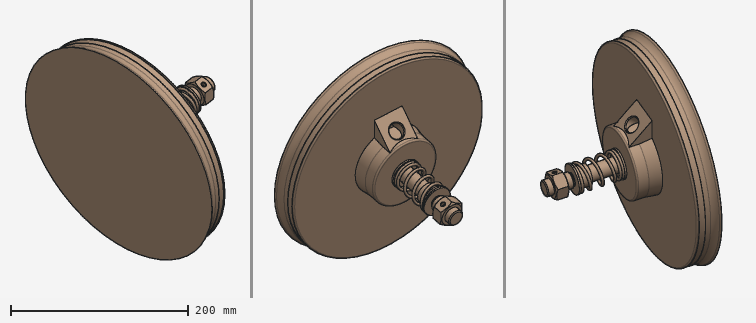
import cadquery as cq
import math


FACE_RADIUS = 279.48 / 2
RIM_RADIUS = 270 / 2
GROOVE_RADIUS = 268.8 / 2
LIP_RADIUS = 138.6
LIP_END = 2.6
FLARE_END = 11.9
GROOVE_START = 18.3
GROOVE_END = 26.2
DISK_BACK = 29.2
DISK_BACK_FILLET = 1.8

HUB_RADIUS = 90 / 2
HUB_BASE_RADIUS = 47.0
HUB_TAPER_END = 45.3
HUB_TOP = 60.5
HUB_FILLET = 2.0

PORT_BLOCK_WIDTH = 39.5
PORT_BLOCK_INNER_Z = 33.0
PORT_SLOPE_SUM = 98.8
PORT_CENTRE_Y = 45.1
PORT_BORE = 18.63
PORT_MOUTH = 20.9

ROD_RADIUS = 20 / 2
ROD_END = 155.51
ROD_CHAMFER = 1.3
NECK_RADIUS = 16.93 / 2
NECK_TOP = 123.0

SEAT_RADIUS = 37.5 / 2
LOWER_SEAT_TOP = 62.8
UPPER_SEAT_BOTTOM = 117.7
UPPER_SEAT_TOP = 120.1
SLEEVE_RADIUS = 26.67 / 2
SLEEVE_BOTTOM = 100.7

WIRE_DIAMETER = 3.5
SPRING_OUTER_RADIUS = 18.4
SPRING_PITCH = 15.4
DEAD_COIL_PITCH = WIRE_DIAMETER + 0.1
COIL_TOP_Y = 78.3
LOWER_DEAD_TURNS = 1.75
UPPER_DEAD_TURNS = 1.1
SEAT_BITE = 1.3
POINTS_PER_TURN = 16

NUT_SIDES = 6
NUT_ACROSS_FLATS = 30.0
NUT_BOTTOM = 130.8
NUT_TOP = 147.2
NUT_CORNER_ANGLE = 34.5
NUT_CHAMFER_RADIUS = 14.0
NUT_CHAMFER_ANGLE = 30.0
SCREW_HOLE = 4.92
SCREW_HOLE_MOUTH = 6.2


def revolved(profile):
    return profile.close().revolve(360, (0, 0, 0), (0, 1, 0))


def ring(radius, bottom, top):
    return cq.Workplane("XZ", origin=(0, bottom, 0)).circle(radius).extrude(bottom - top)


def countersunk_cutter(origin, inward, bore, mouth, depth):
    """Cylinder going inward from a surface point, with a 45 degree cone at its mouth."""
    bore_radius = bore / 2
    mouth_radius = mouth / 2
    sink = mouth_radius - bore_radius
    start = cq.Vector(*origin)
    direction = cq.Vector(*inward)
    drill = cq.Solid.makeCylinder(bore_radius, depth, start, direction)
    cone = cq.Solid.makeCone(mouth_radius, bore_radius, sink, start, direction)
    return cq.Workplane(drill.fuse(cone))


def make_disk():
    rise = LIP_RADIUS - RIM_RADIUS
    length = FLARE_END - LIP_END
    flare_radius = (length**2 + rise**2) / (2 * rise)
    half_sweep = math.asin(length / flare_radius) / 2
    flare_middle = (
        RIM_RADIUS + flare_radius * (1 - math.cos(half_sweep)),
        FLARE_END - flare_radius * math.sin(half_sweep),
    )
    profile = (
        cq.Workplane("XY")
        .lineTo(FACE_RADIUS, 0)
        .lineTo(LIP_RADIUS, LIP_END)
        .threePointArc(flare_middle, (RIM_RADIUS, FLARE_END))
        .lineTo(RIM_RADIUS, GROOVE_START)
        .lineTo(GROOVE_RADIUS, GROOVE_START)
        .lineTo(GROOVE_RADIUS, GROOVE_END)
        .lineTo(RIM_RADIUS, GROOVE_END)
        .lineTo(RIM_RADIUS, DISK_BACK)
        .lineTo(0, DISK_BACK)
    )
    return revolved(profile).faces(">Y").edges().fillet(DISK_BACK_FILLET)


def make_hub_core():
    return ring(HUB_RADIUS, DISK_BACK, HUB_TOP).faces(">Y").edges().fillet(HUB_FILLET)


def make_hub_skirt():
    profile = (
        cq.Workplane("XY")
        .moveTo(0, DISK_BACK)
        .lineTo(HUB_BASE_RADIUS, DISK_BACK)
        .lineTo(HUB_RADIUS, HUB_TAPER_END)
        .lineTo(0, HUB_TAPER_END)
    )
    return revolved(profile)


def make_hub():
    top_y = HUB_TOP - HUB_FILLET
    block = (
        cq.Workplane("YZ")
        .moveTo(DISK_BACK, PORT_BLOCK_INNER_Z)
        .lineTo(DISK_BACK, PORT_SLOPE_SUM - DISK_BACK)
        .lineTo(top_y, PORT_SLOPE_SUM - top_y)
        .lineTo(top_y, PORT_BLOCK_INNER_Z)
        .close()
        .extrude(PORT_BLOCK_WIDTH / 2, both=True)
    )
    centre = (0, PORT_CENTRE_Y, PORT_SLOPE_SUM - PORT_CENTRE_Y)
    inward = (0, -1, -1)
    port = countersunk_cutter(centre, inward, PORT_BORE, PORT_MOUTH, HUB_RADIUS)
    return block.union(make_hub_skirt()).cut(port).union(make_hub_core())


def make_rod():
    neck_bevel = ROD_RADIUS - NECK_RADIUS
    profile = (
        cq.Workplane("XY")
        .moveTo(0, HUB_TOP)
        .lineTo(ROD_RADIUS, HUB_TOP)
        .lineTo(ROD_RADIUS, UPPER_SEAT_BOTTOM)
        .lineTo(NECK_RADIUS, UPPER_SEAT_BOTTOM)
        .lineTo(NECK_RADIUS, NECK_TOP - neck_bevel)
        .lineTo(ROD_RADIUS, NECK_TOP)
        .lineTo(ROD_RADIUS, ROD_END)
        .lineTo(0, ROD_END)
    )
    return revolved(profile).faces(">Y").edges().chamfer(ROD_CHAMFER)


def make_seats():
    lower_seat = ring(SEAT_RADIUS, HUB_TOP, LOWER_SEAT_TOP)
    upper_seat = ring(SEAT_RADIUS, UPPER_SEAT_BOTTOM, UPPER_SEAT_TOP)
    sleeve = ring(SLEEVE_RADIUS, SLEEVE_BOTTOM, UPPER_SEAT_BOTTOM)
    return lower_seat.union(upper_seat).union(sleeve)


def make_spring():
    """Right-handed spring with closed coils against each seat."""
    coil_radius = SPRING_OUTER_RADIUS - WIRE_DIAMETER / 2
    end_gap = WIRE_DIAMETER / 2 - SEAT_BITE
    first_y = LOWER_SEAT_TOP + end_gap
    last_y = UPPER_SEAT_BOTTOM - end_gap
    open_start = (first_y + LOWER_DEAD_TURNS * DEAD_COIL_PITCH - COIL_TOP_Y) / SPRING_PITCH
    open_end = (last_y - UPPER_DEAD_TURNS * DEAD_COIL_PITCH - COIL_TOP_Y) / SPRING_PITCH
    first_turn = open_start - LOWER_DEAD_TURNS
    last_turn = open_end + UPPER_DEAD_TURNS

    def height(turn):
        if turn < open_start:
            return first_y + (turn - first_turn) * DEAD_COIL_PITCH
        if turn > open_end:
            return last_y - (last_turn - turn) * DEAD_COIL_PITCH
        return COIL_TOP_Y + turn * SPRING_PITCH

    def centre_point(turn):
        angle = 2 * math.pi * turn
        return cq.Vector(coil_radius * math.sin(angle), height(turn), coil_radius * math.cos(angle))

    steps = round((last_turn - first_turn) * POINTS_PER_TURN)
    turns = [first_turn + (last_turn - first_turn) * i / steps for i in range(steps + 1)]
    path = cq.Edge.makeSpline([centre_point(turn) for turn in turns])
    start_plane = cq.Plane(origin=path.startPoint(), normal=path.tangentAt(0))
    wire_section = cq.Workplane(start_plane).circle(WIRE_DIAMETER / 2)
    return wire_section.sweep(cq.Workplane(cq.Wire.assembleEdges([path])), isFrenet=True)


def make_nut():
    flat_radius = NUT_ACROSS_FLATS / 2
    corner_radius = flat_radius / math.cos(math.pi / NUT_SIDES)
    chamfer_drop = (corner_radius - NUT_CHAMFER_RADIUS) * math.tan(math.radians(NUT_CHAMFER_ANGLE))
    hexagon = (
        cq.Workplane("XZ", origin=(0, NUT_BOTTOM, 0))
        .polygon(NUT_SIDES, 2 * corner_radius)
        .extrude(NUT_BOTTOM - NUT_TOP)
        .rotate((0, 0, 0), (0, 1, 0), -NUT_CORNER_ANGLE)
    )
    chamfer_envelope = revolved(
        cq.Workplane("XY")
        .moveTo(0, NUT_BOTTOM)
        .lineTo(NUT_CHAMFER_RADIUS, NUT_BOTTOM)
        .lineTo(corner_radius, NUT_BOTTOM + chamfer_drop)
        .lineTo(corner_radius, NUT_TOP - chamfer_drop)
        .lineTo(NUT_CHAMFER_RADIUS, NUT_TOP)
        .lineTo(0, NUT_TOP)
    )
    hole_angle = math.radians(NUT_CORNER_ANGLE) + math.pi / NUT_SIDES
    outward = cq.Vector(math.cos(hole_angle), 0, math.sin(hole_angle))
    mouth = outward * flat_radius + cq.Vector(0, (NUT_BOTTOM + NUT_TOP) / 2, 0)
    inward = (-outward).toTuple()
    hole = countersunk_cutter(mouth.toTuple(), inward, SCREW_HOLE, SCREW_HOLE_MOUTH, flat_radius)
    return hexagon.intersect(chamfer_envelope).cut(hole)


result = (
    make_disk()
    .union(make_hub())
    .union(make_nut())
    .union(make_rod())
    .union(make_seats())
    .union(make_spring())
)